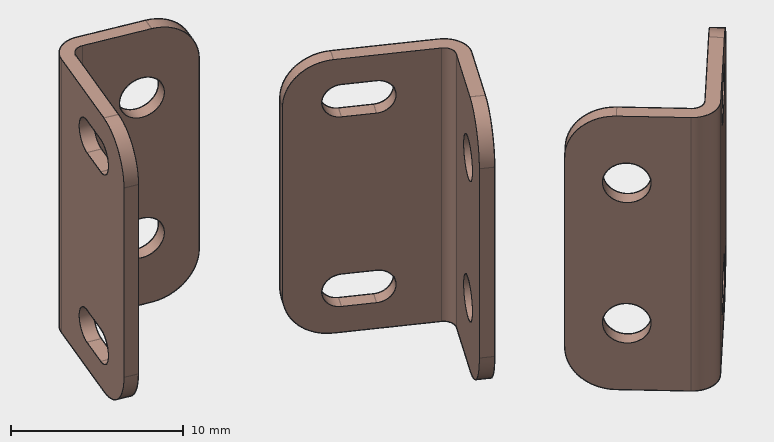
import cadquery as cq

height = 19.48
slot_flange_length = 11.0
hole_flange_length = 8.98
thickness = 0.92
outer_bend_radius = 1.65
inner_bend_radius = outer_bend_radius - thickness
corner_radius = 3.0

slot_length = 4.36
slot_width = 2.3
slot_x = 6.5
slot_spacing = 13.5

hole_diameter = 2.8
hole_y = 5.38
hole_spacing = 10.0


def bent_sheet():
    """L-shaped sheet with concentric inner and outer bend radii."""
    profile = (
        cq.Workplane("XY")
        .workplane(offset=-height / 2)
        .polyline([
            (0, 0),
            (slot_flange_length, 0),
            (slot_flange_length, thickness),
            (thickness, thickness),
            (thickness, hole_flange_length),
            (0, hole_flange_length),
        ])
        .close()
    )
    sheet = profile.extrude(height)
    inner_point = (thickness, thickness, 0)
    sheet = sheet.edges(cq.NearestToPointSelector((0, 0, 0))).fillet(outer_bend_radius)
    return sheet.edges(cq.NearestToPointSelector(inner_point)).fillet(inner_bend_radius)


def round_free_corners(sheet):
    """Round the two outer corners of each flange."""
    sheet = sheet.faces(">X").edges("|Y").fillet(corner_radius)
    return sheet.faces(">Y").edges("|X").fillet(corner_radius)


def slot_cutters():
    return (
        cq.Workplane("XZ")
        .pushPoints([(slot_x, side * slot_spacing / 2) for side in (-1, 1)])
        .slot2D(slot_length, slot_width)
        .extrude(-thickness)
    )


def hole_cutters():
    return (
        cq.Workplane("YZ")
        .pushPoints([(hole_y, side * hole_spacing / 2) for side in (-1, 1)])
        .circle(hole_diameter / 2)
        .extrude(thickness)
    )


bracket = round_free_corners(bent_sheet())
result = bracket.cut(slot_cutters()).cut(hole_cutters())